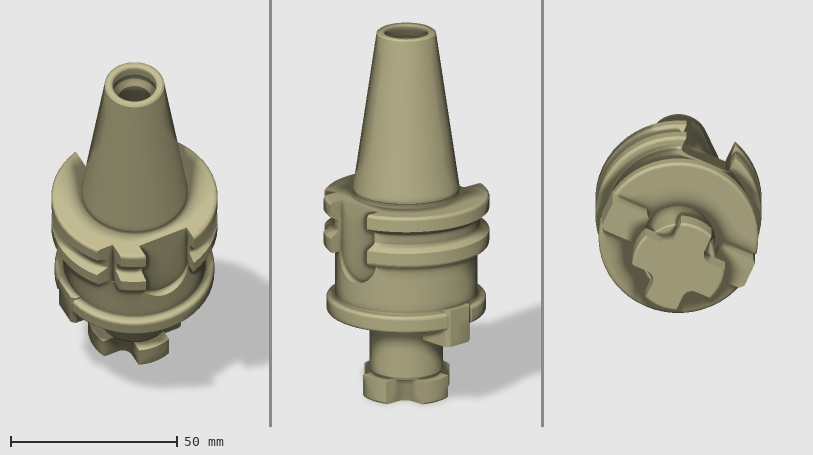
import cadquery as cq
TOTAL_LENGTH = 113.8
HEAD_HEIGHT = 7.2
DRIVE_RING_BOTTOM = 26.0
DRIVE_RING_TOP = 31.2
FLANGE_BOTTOM = 46.9
FLANGE_TOP = 62.8
TAPER_BOTTOM = 65.1

TAPER_RATIO = 7 / 24
TAPER_TOP_RADIUS = 8.9
TAPER_TOP_CHAMFER = 0.5
SHANK_NECK_HEIGHT = 1.6
SHANK_NECK_STEP = 0.3
SHANK_NECK_FILLET = 0.8

FLANGE_RADIUS = 50.0 / 2
FLANGE_FILLET = 1.0
GROOVE_RADIUS = 22.1
GROOVE_CENTRE = 55.0
GROOVE_FLOOR_WIDTH = 3.5
GROOVE_MOUTH_WIDTH = 6.8
GROOVE_FILLET = 0.8

SLOT_WIDTH = 16.0
SLOT_BOTTOM = 39.0
LEFT_SLOT_FLOOR = 16.4
RIGHT_SLOT_FLOOR = 18.8
NOTCH_OFFSET = 14.8

BODY_RADIUS = 21.4
BODY_FILLET = 0.7

DRIVE_RING_RADIUS = 24.0
DRIVE_RING_FILLET = 1.0
KEY_WIDTH = 10.0
KEY_INNER = 11.5
KEY_OUTER = 23.4
KEY_BOTTOM = 20.5
KEY_CHAMFER = 1.1

SPINDLE_RADIUS = 11.0
SPINDLE_CHAMFER_HEIGHT = 0.8
SPINDLE_CHAMFER_STEP = 0.3
UNDERCUT_HEIGHT = 1.9
UNDERCUT_STEP = 0.3
UNDERCUT_CONE_HEIGHT = 0.9

HEAD_RADIUS = 14.0
HEAD_ARM_WIDTH = 10.0
HEAD_INNER_FILLET = 3.1
HEAD_BOTTOM_FILLET = 0.9

BORE_RADIUS = 6.5
BORE_MOUTH_FILLET = 0.9
RELIEF_RADIUS = 6.8
FLARE_START_DEPTH = 3.3
FLARE_END_DEPTH = 4.4
BORE_DEPTH = 5.5
THREAD_RADIUS = 5.0
THREAD_START_DEPTH = 6.8
THREAD_END_DEPTH = 22.8
PILOT_RADIUS = 4.2
STUD_DEPTH = 25.0
STUD_CHAMFER = 0.3


def cylinder(radius, bottom, top):
    return cq.Workplane("XY").workplane(offset=bottom).circle(radius).extrude(top - bottom)


def box(x_range, y_range, z_range):
    lengths = [high - low for low, high in (x_range, y_range, z_range)]
    corner = tuple(low for low, high in (x_range, y_range, z_range))
    return cq.Workplane("XY").box(*lengths, centered=False).translate(corner)


def revolve_profile(points):
    """Revolve a closed (radius, height) outline about the Z axis."""
    return cq.Workplane("XZ").polyline(points).close().revolve(360, (0, 0), (0, 1))


def corner_fillet(radius, level, direction, size):
    """Ring that rounds the corner between a cylinder and a flat face at the given level.

    The direction is 1 when the cylinder rises from the face and -1 when it hangs below it.
    """
    outer_radius = radius + size
    centre_level = level + direction * size
    bottom, top = sorted((level, centre_level))
    ring = cylinder(outer_radius, bottom, top).cut(cylinder(radius - size, bottom, top))
    torus = cq.Solid.makeTorus(outer_radius, size, cq.Vector(0, 0, centre_level))
    return ring.cut(cq.Workplane(torus))


def make_shank():
    base_radius = TAPER_TOP_RADIUS + (TOTAL_LENGTH - TAPER_BOTTOM) * TAPER_RATIO / 2
    neck_radius = base_radius - SHANK_NECK_STEP
    shank = revolve_profile([
        (0, FLANGE_TOP),
        (neck_radius, FLANGE_TOP),
        (neck_radius, FLANGE_TOP + SHANK_NECK_HEIGHT - SHANK_NECK_STEP),
        (base_radius, FLANGE_TOP + SHANK_NECK_HEIGHT),
        (base_radius, TAPER_BOTTOM),
        (TAPER_TOP_RADIUS, TOTAL_LENGTH),
        (0, TOTAL_LENGTH),
    ])
    shank = shank.union(corner_fillet(neck_radius, FLANGE_TOP, 1, SHANK_NECK_FILLET))
    return shank.faces(">Z").edges().chamfer(TAPER_TOP_CHAMFER)


def make_flange():
    flange = cylinder(FLANGE_RADIUS, FLANGE_BOTTOM, FLANGE_TOP).edges().fillet(FLANGE_FILLET)
    floor_half = GROOVE_FLOOR_WIDTH / 2
    mouth_half = GROOVE_MOUTH_WIDTH / 2
    groove = revolve_profile([
        (GROOVE_RADIUS, GROOVE_CENTRE - floor_half),
        (FLANGE_RADIUS, GROOVE_CENTRE - mouth_half),
        (FLANGE_RADIUS, GROOVE_CENTRE + mouth_half),
        (GROOVE_RADIUS, GROOVE_CENTRE + floor_half),
    ])
    floor_edges = cq.selectors.RadiusNthSelector(0)
    return flange.cut(groove.edges(floor_edges).fillet(GROOVE_FILLET))


def make_body():
    body = cylinder(BODY_RADIUS, DRIVE_RING_TOP, FLANGE_BOTTOM)
    ring = cylinder(DRIVE_RING_RADIUS, DRIVE_RING_BOTTOM, DRIVE_RING_TOP)
    ring = ring.edges().fillet(DRIVE_RING_FILLET)
    body = body.union(corner_fillet(BODY_RADIUS, FLANGE_BOTTOM, -1, BODY_FILLET))
    body = body.union(corner_fillet(BODY_RADIUS, DRIVE_RING_TOP, 1, BODY_FILLET))
    return make_flange().union(body).union(ring)


def make_slot(floor, direction):
    """Round-ended key slot, open at the top of the flange."""
    radius = SLOT_WIDTH / 2
    arc_centre = SLOT_BOTTOM + radius
    outline = (
        cq.Workplane("YZ")
        .moveTo(-radius, FLANGE_TOP)
        .lineTo(-radius, arc_centre)
        .threePointArc((0, SLOT_BOTTOM), (radius, arc_centre))
        .lineTo(radius, FLANGE_TOP)
        .close()
    )
    return outline.extrude(direction * (FLANGE_RADIUS - floor)).translate((direction * floor, 0, 0))


def make_notch():
    return box(
        (NOTCH_OFFSET, FLANGE_RADIUS),
        (-FLANGE_RADIUS, -NOTCH_OFFSET),
        (FLANGE_BOTTOM - BODY_FILLET, FLANGE_TOP),
    )


def add_keys(body):
    """Two chamfered drive keys, each seated in a square slot of the drive ring."""
    key_top = DRIVE_RING_TOP + BODY_FILLET
    half_width = KEY_WIDTH / 2
    x_range = (-half_width, half_width)
    seat = box(x_range, (BODY_RADIUS, DRIVE_RING_RADIUS), (DRIVE_RING_BOTTOM, key_top))
    key = box(x_range, (KEY_INNER, KEY_OUTER), (KEY_BOTTOM, key_top))
    key = key.edges("|Z").chamfer(KEY_CHAMFER)
    for angle in (0, 180):
        body = body.cut(seat.rotate((0, 0, 0), (0, 0, 1), angle))
        body = body.union(key.rotate((0, 0, 0), (0, 0, 1), angle))
    return body


def make_spindle():
    undercut_radius = SPINDLE_RADIUS - UNDERCUT_STEP
    undercut_bottom = DRIVE_RING_BOTTOM - UNDERCUT_HEIGHT
    return revolve_profile([
        (0, HEAD_HEIGHT),
        (SPINDLE_RADIUS - SPINDLE_CHAMFER_STEP, HEAD_HEIGHT),
        (SPINDLE_RADIUS, HEAD_HEIGHT + SPINDLE_CHAMFER_HEIGHT),
        (SPINDLE_RADIUS, undercut_bottom),
        (undercut_radius, undercut_bottom + UNDERCUT_CONE_HEIGHT),
        (undercut_radius, DRIVE_RING_BOTTOM),
        (0, DRIVE_RING_BOTTOM),
    ])


def make_screw_head():
    """Four-armed head: a cross with rounded inner corners, trimmed by a disc with a rounded lower rim."""
    half_arm = HEAD_ARM_WIDTH / 2
    arm = box((-HEAD_RADIUS, HEAD_RADIUS), (-half_arm, half_arm), (0, HEAD_HEIGHT))
    cross = arm.union(arm.rotate((0, 0, 0), (0, 0, 1), 90))
    inner_corners = cq.selectors.BoxSelector(
        (-HEAD_ARM_WIDTH, -HEAD_ARM_WIDTH, 0),
        (HEAD_ARM_WIDTH, HEAD_ARM_WIDTH, HEAD_HEIGHT),
    )
    cross = cross.edges("|Z").edges(inner_corners).fillet(HEAD_INNER_FILLET)
    disc = cylinder(HEAD_RADIUS, 0, HEAD_HEIGHT).faces("<Z").edges().fillet(HEAD_BOTTOM_FILLET)
    return cross.intersect(disc)


def make_bore():
    """Bore with a rounded mouth, ending on the chamfered tip of a stud."""
    stud_tip_radius = PILOT_RADIUS - STUD_CHAMFER
    bore = revolve_profile([
        (0, TOTAL_LENGTH),
        (BORE_RADIUS, TOTAL_LENGTH),
        (BORE_RADIUS, TOTAL_LENGTH - FLARE_START_DEPTH),
        (RELIEF_RADIUS, TOTAL_LENGTH - FLARE_END_DEPTH),
        (RELIEF_RADIUS, TOTAL_LENGTH - BORE_DEPTH),
        (THREAD_RADIUS, TOTAL_LENGTH - THREAD_START_DEPTH),
        (THREAD_RADIUS, TOTAL_LENGTH - THREAD_END_DEPTH),
        (PILOT_RADIUS, TOTAL_LENGTH - THREAD_END_DEPTH - (THREAD_RADIUS - PILOT_RADIUS)),
        (PILOT_RADIUS, TOTAL_LENGTH - STUD_DEPTH - STUD_CHAMFER),
        (stud_tip_radius, TOTAL_LENGTH - STUD_DEPTH),
        (0, TOTAL_LENGTH - STUD_DEPTH),
    ])
    return bore.union(corner_fillet(BORE_RADIUS, TOTAL_LENGTH, -1, BORE_MOUTH_FILLET))


holder = make_body()
holder = holder.cut(make_slot(LEFT_SLOT_FLOOR, -1))
holder = holder.cut(make_slot(RIGHT_SLOT_FLOOR, 1))
holder = holder.cut(make_notch())
holder = add_keys(holder)
holder = holder.union(make_shank()).union(make_spindle()).union(make_screw_head())
result = holder.cut(make_bore())